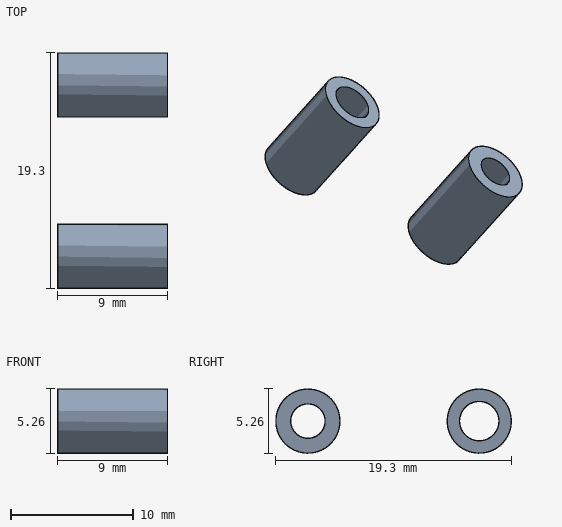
import cadquery as cq

overall_width = 19.27
sleeve_length = 9.0
outer_diameter = 5.26
wide_bore_diameter = 3.2
narrow_bore_diameter = 2.8

axis_offset = (overall_width - outer_diameter) / 2


def make_sleeve(bore_diameter, axis_y):
    """Plain tube along X, centred on X = 0, with a through bore."""
    return (
        cq.Workplane("YZ", origin=(-sleeve_length / 2, axis_y, 0))
        .circle(outer_diameter / 2)
        .circle(bore_diameter / 2)
        .extrude(sleeve_length)
    )


wide_bore_sleeve = make_sleeve(wide_bore_diameter, axis_offset)
narrow_bore_sleeve = make_sleeve(narrow_bore_diameter, -axis_offset)

result = cq.Compound.makeCompound([wide_bore_sleeve.val(), narrow_bore_sleeve.val()])